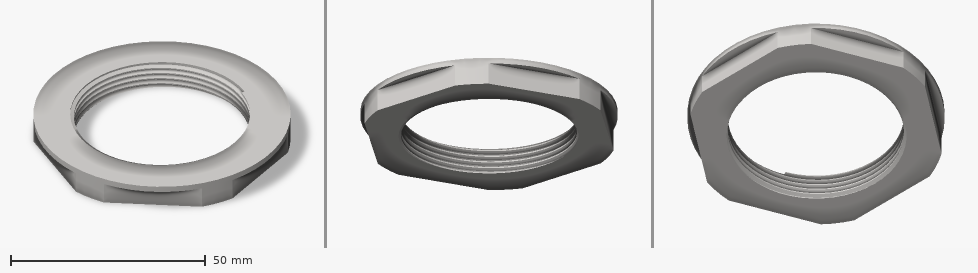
import cadquery as cq
import math

OUTER_RADIUS = 33.0
HEIGHT = 7.3

FLAT_COUNT = 6
ACROSS_FLATS = 61.0
FLANGE_THICKNESS = 1.6
FLAT_HEIGHT = HEIGHT - FLANGE_THICKNESS

BORE_RADIUS = 23.55
CREST_RADIUS = 22.6
PITCH = 25.4 / 16
CREST_WIDTH = 0.34
ROOT_WIDTH = CREST_WIDTH
BASE_WIDTH = PITCH - ROOT_WIDTH
THREAD_END_ANGLE = 90.0
THREAD_TURNS = math.ceil(HEIGHT / PITCH) + 1
RIDGE_EMBED = 0.2


def make_ring(bottom, height):
    """Plain round ring with a straight bore, starting at Z = bottom."""
    return (
        cq.Workplane("XY")
        .workplane(offset=bottom)
        .circle(OUTER_RADIUS)
        .circle(BORE_RADIUS)
        .extrude(height)
    )


def make_hexagon():
    """Hexagonal prism with two of its flats facing +Y and -Y."""
    across_corners = ACROSS_FLATS / math.cos(math.pi / FLAT_COUNT)
    return cq.Workplane("XY").polygon(FLAT_COUNT, across_corners).extrude(FLAT_HEIGHT)


def make_nut_body():
    """Lower ring trimmed to the wrench flats, with the full round flange on top."""
    wrench_part = make_ring(0, FLAT_HEIGHT).intersect(make_hexagon())
    flange = make_ring(FLAT_HEIGHT, FLANGE_THICKNESS)
    return wrench_part.union(flange)


def make_thread_ridge():
    """Helical ridge along the bore, trimmed to the height of the ring."""
    thread_length = THREAD_TURNS * PITCH
    helix = cq.Wire.makeHelix(PITCH, thread_length, BORE_RADIUS)
    embedded_radius = BORE_RADIUS + RIDGE_EMBED
    ridge = (
        cq.Workplane("XZ")
        .moveTo(embedded_radius, -BASE_WIDTH / 2)
        .lineTo(BORE_RADIUS, -BASE_WIDTH / 2)
        .lineTo(CREST_RADIUS, -CREST_WIDTH / 2)
        .lineTo(CREST_RADIUS, CREST_WIDTH / 2)
        .lineTo(BORE_RADIUS, BASE_WIDTH / 2)
        .lineTo(embedded_radius, BASE_WIDTH / 2)
        .close()
        .sweep(cq.Workplane(helix), isFrenet=True)
        .rotate((0, 0, 0), (0, 0, 1), THREAD_END_ANGLE)
        .translate((0, 0, HEIGHT - thread_length))
    )
    height_limit = cq.Workplane("XY").circle(OUTER_RADIUS).extrude(HEIGHT)
    return ridge.intersect(height_limit)


result = make_nut_body().union(make_thread_ridge())